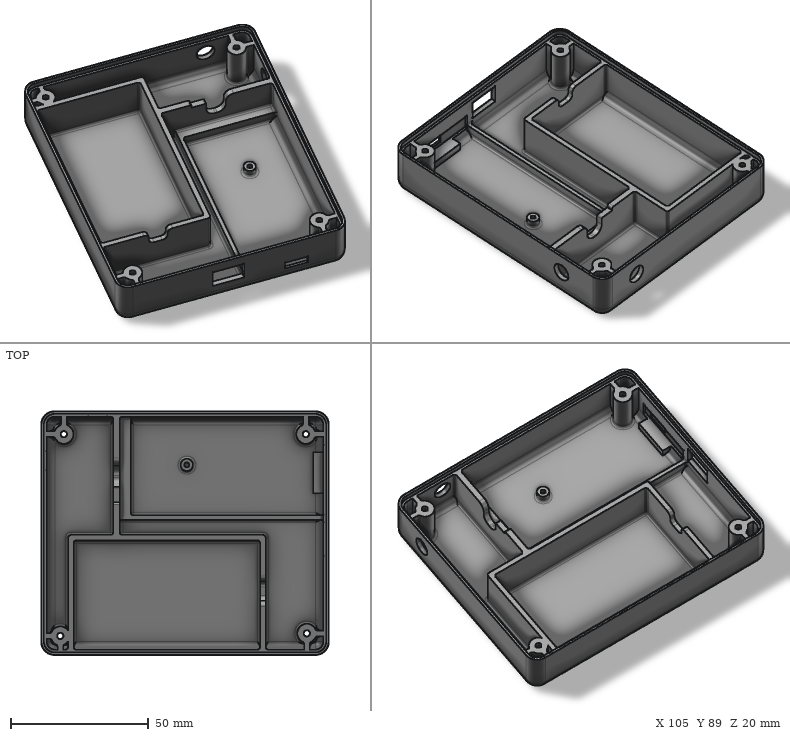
import cadquery as cq
import math

LENGTH = 105.0
WIDTH = 89.0
HEIGHT = 20.0
OUTER_RADIUS = 5.0
WALL = 2.0
RIM_WALL = 1.0
LID_RECESS = 2.0
FOOT_RADIUS = 1.0

DIAGONAL = math.sqrt(0.5)
FOOT_BEND = FOOT_RADIUS * (1 - DIAGONAL)

FLOOR = WALL
BOARD_LEVEL = 5.0
LEDGE = 6.0
WALL_TOP = HEIGHT - LID_RECESS
INNER_RADIUS = OUTER_RADIUS - WALL
INNER_X = LENGTH / 2 - WALL
INNER_Y = WIDTH / 2 - WALL

BATTERY_LEFT = -40.65
BATTERY_RIGHT = 27.4
BATTERY_BACK = -2.65
BATTERY_WALL = 2.0

DIVIDER_LEFT = -26.2
DIVIDER_RIGHT = -23.8

LEDGE_RIGHT = -19.8
RIB_FRONT = 4.9
RIB_BACK = 6.5
BLOCK_LEFT = 46.7
BLOCK_WIDTH = 15.0
BLOCK_Y = 22.0

PEG_X, PEG_Y = 0.65, 24.9
PEG_DIAMETER = 4.5
PEG_HOLE = 1.8

BOSS_DIAMETER = 7.0
SCREW_HOLE = 2.2
WEB = 2.0
BOSSES = [
    (-44.2, 36.1, True, True),
    (44.1, 36.1, False, False),
    (44.45, -36.55, True, False),
    (-45.5, -37.5, True, False),
]

PORT_DIAMETER = 7.0
PORT_Z = 12.0
LEFT_PORT_Y = 26.4
BACK_PORT_X = -31.8

BOARD_RELIEF = (6.7, 32.2, BOARD_LEVEL, 11.2)
BOARD_RELIEF_DEPTH = 1.0
SMALL_OPENING = (19.75, 28.7, 6.6, 9.8)
LARGE_OPENING = (-8.3, 3.9, 8.0, 15.6)

BATTERY_NOTCH_Y = -21.1
BATTERY_NOTCH_FLAT = 3.2
BATTERY_NOTCH_RADIUS = 2.0
BATTERY_NOTCH_BOTTOM = 13.0

DIVIDER_NOTCH_Y = 20.75
DIVIDER_NOTCH_HALF = 3.8
DIVIDER_NOTCH_RADIUS = 3.4
DIVIDER_NOTCH_MOUTH = 3.0
DIVIDER_NOTCH_BOTTOM = 9.9
STEP_Z = 16.5
STEP_END_Y = 11.3
STEP_EDGE_RADIUS = 0.4
STEP_MOUTH_RADIUS = 0.8


def box(x0, x1, y0, y1, z0, z1):
    return cq.Workplane("XY").box(x1 - x0, y1 - y0, z1 - z0, centered=False).translate((x0, y0, z0))


def rounded_box(inset, bottom, radius, top):
    """Box inset from the outer walls, with rounded corners."""
    length = LENGTH - 2 * inset
    width = WIDTH - 2 * inset
    block = cq.Workplane("XY").workplane(offset=bottom).rect(length, width).extrude(top - bottom)
    return block.edges("|Z").fillet(radius)


def compartment(points, bottom):
    """Room to cut out over a polygon, with filleted corners and floor edges."""
    room = cq.Workplane("XY").workplane(offset=bottom).polyline(points).close().extrude(WALL_TOP - bottom)
    return room.edges("|Z").fillet(FOOT_RADIUS).faces("<Z").edges().fillet(FOOT_RADIUS)


def rectangle(x0, x1, y0, y1):
    return [(x0, y0), (x1, y0), (x1, y1), (x0, y1)]


def outer_body():
    return rounded_box(0, 0, OUTER_RADIUS, HEIGHT).faces("<Z").edges().fillet(OUTER_RADIUS)


def lid_recess():
    return rounded_box(RIM_WALL, WALL_TOP, OUTER_RADIUS - RIM_WALL, HEIGHT)


def cavity():
    """Rounded space inside the side walls, above the floor."""
    return rounded_box(WALL, FLOOR, INNER_RADIUS, WALL_TOP).faces("<Z").edges().fillet(INNER_RADIUS)


def compartments():
    outer_left = BATTERY_LEFT - BATTERY_WALL
    outer_right = BATTERY_RIGHT + BATTERY_WALL
    outer_back = BATTERY_BACK + BATTERY_WALL

    battery = compartment(rectangle(BATTERY_LEFT, BATTERY_RIGHT, -INNER_Y, BATTERY_BACK), FLOOR)
    left = compartment(
        [
            (-INNER_X, -INNER_Y),
            (outer_left, -INNER_Y),
            (outer_left, outer_back),
            (DIVIDER_LEFT, outer_back),
            (DIVIDER_LEFT, INNER_Y),
            (-INNER_X, INNER_Y),
        ],
        FLOOR,
    )
    right_front = compartment(
        [
            (outer_right, -INNER_Y),
            (INNER_X, -INNER_Y),
            (INNER_X, RIB_FRONT),
            (DIVIDER_RIGHT, RIB_FRONT),
            (DIVIDER_RIGHT, outer_back),
            (outer_right, outer_back),
        ],
        FLOOR,
    )
    right_back = compartment(rectangle(LEDGE_RIGHT, INNER_X, RIB_BACK, INNER_Y), FLOOR)
    above_ledge = compartment(
        [
            (outer_right, -INNER_Y),
            (INNER_X, -INNER_Y),
            (INNER_X, INNER_Y),
            (DIVIDER_RIGHT, INNER_Y),
            (DIVIDER_RIGHT, outer_back),
            (outer_right, outer_back),
        ],
        LEDGE,
    )
    rooms = battery.union(left).union(right_front).union(right_back).union(above_ledge)
    return rooms.intersect(cavity())


def footed_post(x, y, diameter, top):
    """Round post on the floor with a concave fillet around its foot."""
    radius = diameter / 2
    profile = (
        cq.Workplane("XZ")
        .moveTo(0, WALL / 2)
        .lineTo(radius + FOOT_RADIUS, WALL / 2)
        .lineTo(radius + FOOT_RADIUS, FLOOR)
        .threePointArc((radius + FOOT_BEND, FLOOR + FOOT_BEND), (radius, FLOOR + FOOT_RADIUS))
        .lineTo(radius, top)
        .lineTo(0, top)
        .close()
    )
    return profile.revolve(360, (0, 0), (0, 1)).translate((x, y, 0))


def web_profile(plane, outward, foot_outside):
    """Cross-section of a web; outward is the sideways direction that leads away from the corner."""
    half = WEB / 2
    section = cq.Workplane(plane).moveTo(-outward * half, WALL_TOP)
    section = section.lineTo(-outward * half, FLOOR + FOOT_RADIUS)
    section = section.threePointArc(
        (-outward * (half + FOOT_BEND), FLOOR + FOOT_BEND), (-outward * (half + FOOT_RADIUS), FLOOR)
    )
    if foot_outside:
        section = section.lineTo(outward * (half + FOOT_RADIUS), FLOOR)
        section = section.threePointArc(
            (outward * (half + FOOT_BEND), FLOOR + FOOT_BEND), (outward * half, FLOOR + FOOT_RADIUS)
        )
    else:
        section = section.lineTo(outward * half, FLOOR)
    return section.lineTo(outward * half, WALL_TOP).close()


def boss_core(radius, reach_x, reach_y):
    """Boss cylinder at the origin with straight webs, filleted where the webs leave the cylinder."""
    half = WEB / 2
    height = WALL_TOP - FLOOR
    x_web = cq.Workplane("XY").center(reach_x / 2, 0).rect(abs(reach_x), WEB).extrude(height)
    y_web = cq.Workplane("XY").center(0, reach_y / 2).rect(WEB, abs(reach_y)).extrude(height)
    core = cq.Workplane("XY").circle(radius).extrude(height).union(x_web).union(y_web)
    tolerance = 0.01

    def is_web_joint(edge):
        middle = edge.Center()
        on_cylinder = abs(math.hypot(middle.x, middle.y) - radius) < tolerance
        on_web_side = abs(min(abs(middle.x), abs(middle.y)) - half) < tolerance
        return on_cylinder and on_web_side

    return core.edges("|Z").filter(is_web_joint).fillet(FOOT_RADIUS).translate((0, 0, FLOOR))


def screw_boss(x, y, foot_on_x_web, foot_on_y_web):
    """Lid screw boss tied to the two nearest side walls by webs."""
    side_x = math.copysign(1, x)
    side_y = math.copysign(1, y)
    reach_x = side_x * (INNER_X + WALL / 2 - abs(x))
    reach_y = side_y * (INNER_Y + WALL / 2 - abs(y))
    x_web = web_profile("YZ", -side_y, foot_on_x_web).extrude(reach_x)
    y_web = web_profile("XZ", -side_x, foot_on_y_web).extrude(-reach_y)
    core = boss_core(BOSS_DIAMETER / 2, reach_x, reach_y)
    webs = core.union(x_web).union(y_web).translate((x, y, 0))
    return footed_post(x, y, BOSS_DIAMETER, WALL_TOP).union(webs)


def connector_block():
    half = BLOCK_WIDTH / 2
    return box(BLOCK_LEFT, INNER_X + WALL / 2, BLOCK_Y - half, BLOCK_Y + half, WALL / 2, BOARD_LEVEL)


def battery_notch():
    """Cable notch with flared mouth through the battery wall."""
    r = BATTERY_NOTCH_RADIUS
    bend = r * DIAGONAL
    half = BATTERY_NOTCH_FLAT / 2
    side = half + r
    low = BATTERY_NOTCH_BOTTOM
    profile = (
        cq.Workplane("YZ")
        .moveTo(-half, low)
        .lineTo(half, low)
        .threePointArc((half + bend, low + r - bend), (side, low + r))
        .lineTo(side, WALL_TOP - r)
        .threePointArc((side + r - bend, WALL_TOP - r + bend), (side + r, WALL_TOP))
        .lineTo(-side - r, WALL_TOP)
        .threePointArc((-side - r + bend, WALL_TOP - r + bend), (-side, WALL_TOP - r))
        .lineTo(-side, low + r)
        .threePointArc((-half - bend, low + r - bend), (-half, low))
        .close()
    )
    return profile.extrude(BATTERY_WALL).translate((BATTERY_RIGHT, BATTERY_NOTCH_Y, 0))


def divider_notch():
    """Cable notch through the divider: flared on the +Y side, stepped on the -Y side."""
    r = DIVIDER_NOTCH_RADIUS
    mouth = DIVIDER_NOTCH_MOUTH
    edge = STEP_EDGE_RADIUS
    end = STEP_MOUTH_RADIUS
    low = DIVIDER_NOTCH_BOTTOM
    back = DIVIDER_NOTCH_Y + DIVIDER_NOTCH_HALF
    front = DIVIDER_NOTCH_Y - DIVIDER_NOTCH_HALF
    profile = (
        cq.Workplane("YZ")
        .moveTo(front + r, low)
        .lineTo(back - r, low)
        .threePointArc((back - r + r * DIAGONAL, low + r - r * DIAGONAL), (back, low + r))
        .lineTo(back, WALL_TOP - mouth)
        .threePointArc(
            (back + mouth - mouth * DIAGONAL, WALL_TOP - mouth + mouth * DIAGONAL),
            (back + mouth, WALL_TOP),
        )
        .lineTo(STEP_END_Y - end, WALL_TOP)
        .threePointArc(
            (STEP_END_Y - end + end * DIAGONAL, WALL_TOP - end + end * DIAGONAL),
            (STEP_END_Y, WALL_TOP - end),
        )
        .lineTo(STEP_END_Y, STEP_Z)
        .lineTo(front - edge, STEP_Z)
        .threePointArc(
            (front - edge + edge * DIAGONAL, STEP_Z - edge + edge * DIAGONAL),
            (front, STEP_Z - edge),
        )
        .lineTo(front, low + r)
        .threePointArc((front + r - r * DIAGONAL, low + r - r * DIAGONAL), (front + r, low))
        .close()
    )
    return profile.extrude(DIVIDER_RIGHT - DIVIDER_LEFT).translate((DIVIDER_LEFT, 0, 0))


def cable_ports():
    radius = PORT_DIAMETER / 2
    left = cq.Workplane("YZ").center(LEFT_PORT_Y, PORT_Z).circle(radius).extrude(WALL)
    back = cq.Workplane("XZ").center(BACK_PORT_X, PORT_Z).circle(radius).extrude(WALL)
    return left.translate((-LENGTH / 2, 0, 0)).union(back.translate((0, WIDTH / 2, 0)))


def connector_openings():
    relief = box(INNER_X, INNER_X + BOARD_RELIEF_DEPTH, *BOARD_RELIEF)
    small = box(INNER_X, LENGTH / 2, *SMALL_OPENING)
    large = box(INNER_X, LENGTH / 2, *LARGE_OPENING)
    return relief.union(small).union(large)


space = compartments()
for boss in BOSSES:
    space = space.cut(screw_boss(*boss))
space = space.cut(connector_block())
space = space.cut(footed_post(PEG_X, PEG_Y, PEG_DIAMETER, BOARD_LEVEL))

result = outer_body().cut(lid_recess()).cut(space)
result = result.cut(battery_notch()).cut(divider_notch())
result = result.cut(cable_ports()).cut(connector_openings())

for boss_x, boss_y, _, _ in BOSSES:
    screw_hole = cq.Workplane("XY").circle(SCREW_HOLE / 2).extrude(HEIGHT)
    result = result.cut(screw_hole.translate((boss_x, boss_y, 0)))

peg_hole = cq.Workplane("XY").workplane(offset=FLOOR).circle(PEG_HOLE / 2).extrude(BOARD_LEVEL - FLOOR)
result = result.cut(peg_hole.translate((PEG_X, PEG_Y, 0)))